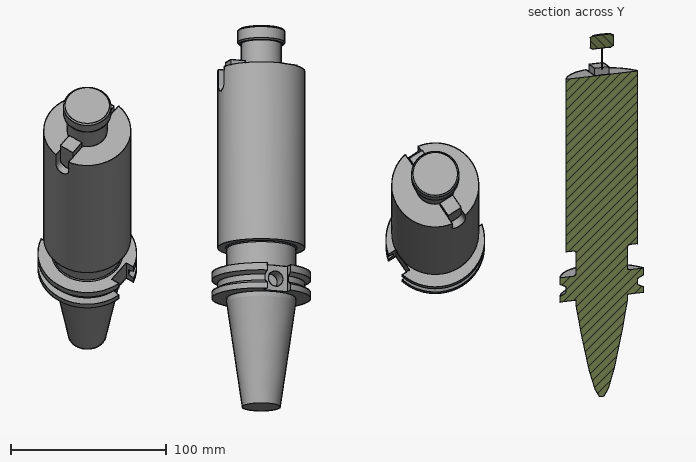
import cadquery as cq

total_height = 247.5

taper_ratio = 7 / 24
taper_length = 68.0
gauge_diameter = 44.3

flange_diameter = 63.4
flange_bottom = 71.3
flange_top = 87.9
groove_floor_diameter = 56.2
groove_mid_height = 79.2
groove_floor_width = 4.0
groove_mouth_width = 8.0

neck_diameter = 44.3
neck_chamfer = 0.7
body_diameter = 56.0
body_bottom = 104.5
body_top = 220.5
pilot_diameter = 25.7

head_diameter = 30.5
head_height = 9.2
head_chamfer = 1.0
head_bottom = total_height - head_height

drive_slot_width = 16.0
drive_slot_floor = 25.0
blind_hole_diameter = 10.0
blind_hole_depth = 10.0

key_width = 10.0
key_bottom = 205.5
key_top = 225.5
key_inner = pilot_diameter / 2
key_outer = 22.8


def turned_arbor():
    """Taper, flange, neck, body and pilot as one revolved solid."""
    gauge_radius = gauge_diameter / 2
    taper_tip_radius = gauge_radius - taper_length * taper_ratio / 2
    flange_radius = flange_diameter / 2
    groove_radius = groove_floor_diameter / 2
    neck_radius = neck_diameter / 2
    body_radius = body_diameter / 2
    pilot_radius = pilot_diameter / 2
    return (
        cq.Workplane("XZ")
        .lineTo(taper_tip_radius, 0)
        .lineTo(gauge_radius, taper_length)
        .lineTo(gauge_radius, flange_bottom)
        .lineTo(flange_radius, flange_bottom)
        .lineTo(flange_radius, groove_mid_height - groove_mouth_width / 2)
        .lineTo(groove_radius, groove_mid_height - groove_floor_width / 2)
        .lineTo(groove_radius, groove_mid_height + groove_floor_width / 2)
        .lineTo(flange_radius, groove_mid_height + groove_mouth_width / 2)
        .lineTo(flange_radius, flange_top)
        .lineTo(neck_radius + neck_chamfer, flange_top)
        .lineTo(neck_radius, flange_top + neck_chamfer)
        .lineTo(neck_radius, body_bottom - neck_chamfer)
        .lineTo(neck_radius + neck_chamfer, body_bottom)
        .lineTo(body_radius, body_bottom)
        .lineTo(body_radius, body_top)
        .lineTo(pilot_radius, body_top)
        .lineTo(pilot_radius, head_bottom)
        .lineTo(0, head_bottom)
        .close()
        .revolve(360, (0, 0, 0), (0, 1, 0))
    )


def drive_slot(side):
    """Rectangular cutter for the flange slot on the +X (side = 1) or -X (side = -1) side."""
    slot_depth = flange_diameter / 2 - drive_slot_floor
    slot_height = flange_top - flange_bottom
    return cq.Workplane("XY").box(slot_depth, drive_slot_width, slot_height).translate(
        (side * (drive_slot_floor + slot_depth / 2), 0, flange_bottom + slot_height / 2)
    )


def blind_hole():
    """Cutter for the radial hole in the floor of the -X drive slot."""
    return (
        cq.Workplane("YZ", origin=(-drive_slot_floor, 0, groove_mid_height))
        .circle(blind_hole_diameter / 2)
        .extrude(blind_hole_depth)
    )


def key_shape(side, outer, top):
    """Round-bottomed bar from key_inner out to `outer`, on the +Y (side = 1) or -Y (side = -1) side."""
    half_width = key_width / 2
    round_center = key_bottom + half_width
    return (
        cq.Workplane("XZ", origin=(0, side * key_inner, 0))
        .moveTo(-half_width, top)
        .lineTo(-half_width, round_center)
        .threePointArc((0, key_bottom), (half_width, round_center))
        .lineTo(half_width, top)
        .close()
        .extrude(-side * (outer - key_inner))
    )


def make_arbor():
    arbor = turned_arbor().cut(blind_hole())
    for side in (-1, 1):
        key_slot = key_shape(side, body_diameter / 2, body_top)
        arbor = arbor.cut(drive_slot(side)).cut(key_slot)
    return arbor


def make_key(side):
    return key_shape(side, key_outer, key_top)


def make_retaining_head():
    return (
        cq.Workplane("XY", origin=(0, 0, head_bottom))
        .circle(head_diameter / 2)
        .extrude(head_height)
        .faces("<Z or >Z")
        .edges()
        .chamfer(head_chamfer)
    )


arbor = make_arbor()
retaining_head = make_retaining_head()
keys = [make_key(side) for side in (-1, 1)]

result = cq.Compound.makeCompound([arbor.val(), retaining_head.val(), *[key.val() for key in keys]])